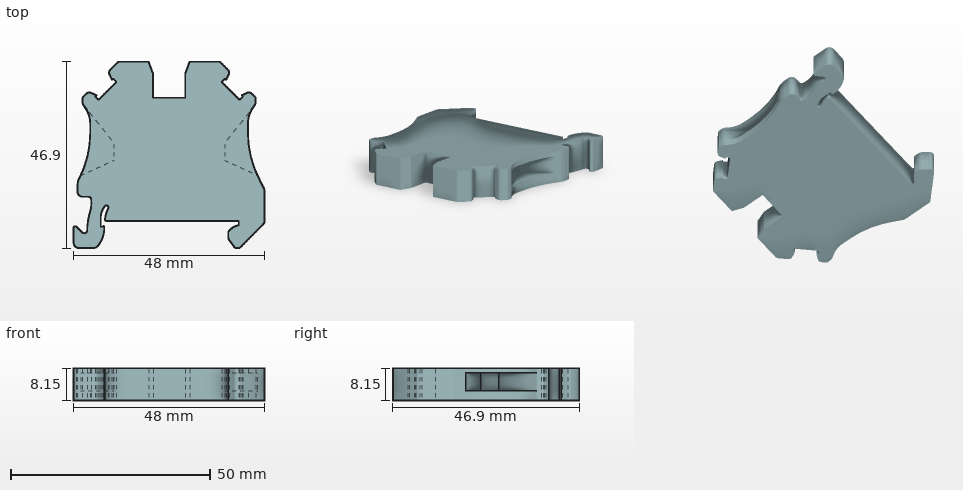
import cadquery as cq
import math

WIDTH = 48.0
HEIGHT = 46.85
THICKNESS = 8.15
HALF_WIDTH = WIDTH / 2

CENTER_SLOT_HALF_WIDTH = 4.05
CENTER_SLOT_FLOOR_Y = 37.8
CENTER_SLOT_FLARE_Y = 43.85
CENTER_SLOT_FLARE = 1.1
WAIST_X = 19.8
WAIST_TOP_Y = 31.4
WAIST_BOTTOM_Y = 28.9
FLANK_RADIUS = 24.95
SHOULDER_Y = 17.0
SHOULDER_X = WAIST_X + FLANK_RADIUS - math.sqrt(FLANK_RADIUS**2 - (WAIST_BOTTOM_Y - SHOULDER_Y) ** 2)
EAR_X = 21.75

MARKER_X = -15.45
MARKER_Y = 39.5
MARKER_HALF_LENGTH = 3.15
MARKER_UNDERCUT = 1.15
MARKER_TOOTH = 0.45
JAW_OUT = 3.25

JAW_TIP_START_ALONG, JAW_TIP_START_OUT = 3.25, 2.65
JAW_TIP_MIDDLE_ALONG, JAW_TIP_MIDDLE_OUT = 3.6, 3.05
JAW_TIP_END_ALONG = 4.15
UPPER_JAW_END_ALONG = 6.85
LOWER_JAW_END_ALONG = 5.4

RAIL_FACE_Y = 6.8
LEFT_SHOULDER_X = -23.05
LEFT_SHOULDER_BOTTOM_Y = 12.85
RIGHT_CORNER_Y = 14.4
RAIL_END_X = 17.45
LEG_X = -20.55
LEFT_FOOT_X = -16.25
LEG_SLOT_X = -17.15
LEG_SLOT_BOTTOM_Y = 5.4
RIGHT_FOOT_X = 14.85

POCKET_BOTTOM_Z = 2.5
POCKET_HEIGHT = 4.45
POCKET_TOP_Y = 36.05
POCKET_END_X = 13.9
POCKET_END_TOP_Y = 26.55
POCKET_END_BOTTOM_Y = 22.1
POCKET_BOTTOM_Y = 18.35
POCKET_TOP_X = 21.6
POCKET_BOTTOM_X = 22.2


def marker_point(along, out):
    """Point in the left marker slot: along its floor (up and right), out of it (up and left)."""
    diagonal = math.sqrt(0.5)
    return (MARKER_X + (along - out) * diagonal, MARKER_Y + (along + out) * diagonal)


def upper_half():
    """Left half of the upper housing, from the center slot round to the shoulder."""
    slot_edge = -CENTER_SLOT_HALF_WIDTH
    outline = (
        cq.Workplane("XY")
        .moveTo(0, SHOULDER_Y)
        .lineTo(0, CENTER_SLOT_FLOOR_Y)
        .lineTo(slot_edge, CENTER_SLOT_FLOOR_Y)
        .lineTo(slot_edge, CENTER_SLOT_FLARE_Y)
        .lineTo(slot_edge - CENTER_SLOT_FLARE, HEIGHT)
        .lineTo(-12.45, HEIGHT)
        .tangentArcPoint(marker_point(UPPER_JAW_END_ALONG, JAW_OUT), relative=False)
        .lineTo(*marker_point(JAW_TIP_END_ALONG, JAW_OUT))
        .threePointArc(
            marker_point(JAW_TIP_MIDDLE_ALONG, JAW_TIP_MIDDLE_OUT),
            marker_point(JAW_TIP_START_ALONG, JAW_TIP_START_OUT),
        )
        .lineTo(*marker_point(MARKER_HALF_LENGTH - MARKER_TOOTH, MARKER_UNDERCUT))
        .lineTo(*marker_point(MARKER_HALF_LENGTH, MARKER_UNDERCUT))
        .lineTo(*marker_point(MARKER_HALF_LENGTH, 0))
        .lineTo(*marker_point(-MARKER_HALF_LENGTH, 0))
        .lineTo(*marker_point(-MARKER_HALF_LENGTH, MARKER_UNDERCUT))
        .lineTo(*marker_point(MARKER_TOOTH - MARKER_HALF_LENGTH, MARKER_UNDERCUT))
        .lineTo(*marker_point(-JAW_TIP_START_ALONG, JAW_TIP_START_OUT))
        .threePointArc(
            marker_point(-JAW_TIP_MIDDLE_ALONG, JAW_TIP_MIDDLE_OUT),
            marker_point(-JAW_TIP_END_ALONG, JAW_OUT),
        )
        .lineTo(*marker_point(-LOWER_JAW_END_ALONG, JAW_OUT))
        .tangentArcPoint((-EAR_X, 37.25), relative=False)
        .lineTo(-EAR_X, 36.7)
        .tangentArcPoint((-POCKET_TOP_X, POCKET_TOP_Y), relative=False)
        .lineTo(-21.1, 35.35)
        .threePointArc((-20.2, 33.55), (-WAIST_X, WAIST_TOP_Y))
        .lineTo(-WAIST_X, WAIST_BOTTOM_Y)
        .tangentArcPoint((-SHOULDER_X, SHOULDER_Y), relative=False)
        .close()
    )
    return outline.extrude(THICKNESS)


def base():
    """Lower housing with the springy left rail foot and the fixed right rail foot."""
    outline = (
        cq.Workplane("XY")
        .moveTo(SHOULDER_X, SHOULDER_Y)
        .lineTo(-SHOULDER_X, SHOULDER_Y)
        .threePointArc((-22.95, 16.4), (LEFT_SHOULDER_X, 15.8))
        .lineTo(LEFT_SHOULDER_X, 14.3)
        .tangentArcPoint((-21.6, LEFT_SHOULDER_BOTTOM_Y), relative=False)
        .lineTo(-20.15, LEFT_SHOULDER_BOTTOM_Y)
        .tangentArcPoint((-19.6, 12.2), relative=False)
        .lineTo(-19.55, 11.4)
        .threePointArc((-19.6, 10.4), (-19.8, 9.5))
        .threePointArc((-20.25, 7.6), (LEG_X, 5.6))
        .lineTo(LEG_X, 4.65)
        .threePointArc((-21.05, 3.85), (-21.75, 3.95))
        .lineTo(-23.35, 5.5)
        .threePointArc((-23.6, 5.55), (-HALF_WIDTH, 5.15))
        .lineTo(-HALF_WIDTH, 1.45)
        .tangentArcPoint((-22.55, 0), relative=False)
        .lineTo(-19.15, 0)
        .tangentArcPoint((-17.55, 0.95), relative=False)
        .threePointArc((-16.7, 2.55), (LEFT_FOOT_X, 4.3))
        .lineTo(LEFT_FOOT_X, 5.4)
        .lineTo(-16.4, 5.6)
        .lineTo(-16.6, LEG_SLOT_BOTTOM_Y)
        .lineTo(LEG_SLOT_X, LEG_SLOT_BOTTOM_Y)
        .lineTo(LEG_SLOT_X, 7.9)
        .threePointArc((-16.85, 9.2), (-16.2, 10.4))
        .threePointArc((-15.65, 10.7), (-15.25, 10.15))
        .threePointArc((-15.85, 8.7), (-16.15, 7.25))
        .threePointArc((-16.0, 6.95), (-15.65, RAIL_FACE_Y))
        .lineTo(RAIL_END_X, RAIL_FACE_Y)
        .lineTo(RAIL_END_X, 5.8)
        .threePointArc((16.05, 5.25), (RIGHT_FOOT_X, 4.15))
        .lineTo(RIGHT_FOOT_X, 2.9)
        .threePointArc((14.95, 2.3), (15.15, 1.85))
        .lineTo(16.2, 0.6)
        .threePointArc((16.45, 0.2), (16.9, 0))
        .lineTo(17.4, 0)
        .threePointArc((17.7, 0.1), (18.0, 0.35))
        .lineTo(23.75, 6.15)
        .threePointArc((23.9, 6.4), (HALF_WIDTH, 6.7))
        .lineTo(HALF_WIDTH, RIGHT_CORNER_Y)
        .threePointArc((23.9, 14.85), (23.75, 15.15))
        .close()
    )
    return outline.extrude(THICKNESS)


def wire_pocket():
    """Wire entry pocket cut into the left flank."""
    outside = -WIDTH
    outline = [
        (outside, POCKET_TOP_Y),
        (-POCKET_TOP_X, POCKET_TOP_Y),
        (-POCKET_END_X, POCKET_END_TOP_Y),
        (-POCKET_END_X, POCKET_END_BOTTOM_Y),
        (-POCKET_BOTTOM_X, POCKET_BOTTOM_Y),
        (outside, POCKET_BOTTOM_Y),
    ]
    floor = cq.Workplane("XY").workplane(offset=POCKET_BOTTOM_Z)
    return floor.polyline(outline).close().extrude(POCKET_HEIGHT)


def with_mirror(left):
    """The left-hand shape joined by its mirror image across X = 0."""
    return left.union(left.mirror("YZ"))


result = with_mirror(upper_half()).union(base()).cut(with_mirror(wire_pocket())).clean()